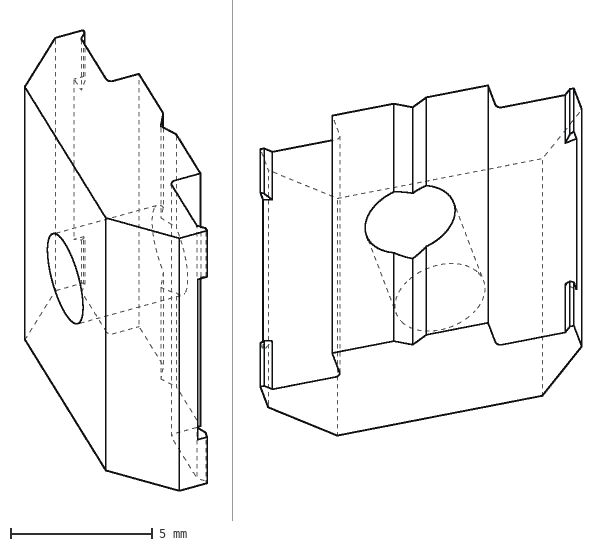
import cadquery as cq

length = 12.0
width = 11.5
depth = 4.0

bevel = 1.99
boss_half_width = 2.85
shelf_y = 2.82
corner_radius = 0.19
lip_height = 0.24
lip_top_width = 0.15
vee_half_width = 0.6
vee_depth = 0.35

hole_diameter = 3.3

recess_length = 7.61
recess_taper = 0.24
recess_outer_y = 2.7

half_width = width / 2
lip_top_y = shelf_y + lip_height
lip_inner_x = half_width - lip_top_width
lip_foot_x = lip_inner_x - lip_height


def make_body():
    """Extrude the symmetric section along Z."""
    half = (
        cq.Workplane("XY")
        .workplane(offset=-length / 2)
        .moveTo(0, 0)
        .lineTo(half_width - bevel, 0)
        .lineTo(half_width, bevel)
        .lineTo(half_width, lip_top_y)
        .lineTo(lip_inner_x, lip_top_y)
        .lineTo(lip_foot_x, shelf_y)
        .lineTo(boss_half_width + corner_radius, shelf_y)
        .radiusArc((boss_half_width, shelf_y + corner_radius), corner_radius)
        .lineTo(boss_half_width, depth)
        .lineTo(vee_half_width, depth)
        .lineTo(0, depth - vee_depth)
        .close()
        .extrude(length)
    )
    return half.union(half.mirror("YZ"))


def make_recess():
    """Gap in the +X lip, with a floor sloping up to the shelf and flared ends."""
    section = (
        cq.Workplane("XY")
        .workplane(offset=-recess_length / 2)
        .moveTo(half_width, recess_outer_y)
        .lineTo(half_width, lip_top_y)
        .lineTo(lip_foot_x, lip_top_y)
        .lineTo(lip_foot_x, shelf_y)
        .close()
        .extrude(recess_length)
    )
    half_outer = recess_length / 2
    half_inner = half_outer - recess_taper
    plan = (
        cq.Workplane("XZ")
        .polyline([
            (half_width, -half_outer),
            (half_width, half_outer),
            (lip_foot_x, half_inner),
            (lip_foot_x, -half_inner),
        ])
        .close()
        .extrude(-depth)
    )
    return section.intersect(plan)


recess = make_recess()
hole = cq.Workplane("XZ").circle(hole_diameter / 2).extrude(-depth)
result = make_body().cut(recess).cut(recess.mirror("YZ")).cut(hole)